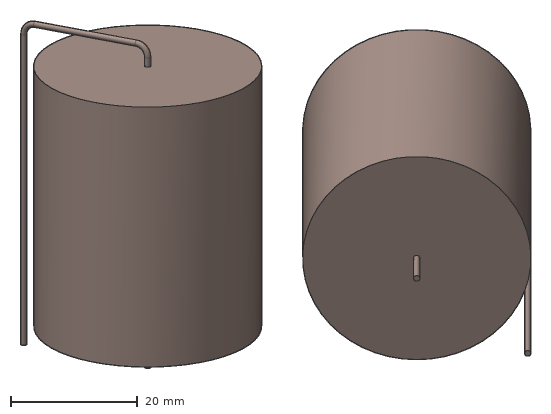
import cadquery as cq
import math

overall_height = 55.0
body_diameter = 36.0
body_height = 44.0
body_bottom = 7.0
wire_diameter = 1.0
lead_pitch = 22.0
bend_radius = 2.0

body_top = body_bottom + body_height
wire_radius = wire_diameter / 2
crossing_height = overall_height - wire_radius
bend_start_height = crossing_height - bend_radius
bend_offset = bend_radius * (1 - math.cos(math.radians(45)))


def make_body():
    """Solid cylindrical component body."""
    return cq.Workplane("XY").workplane(offset=body_bottom).circle(body_diameter / 2).extrude(body_height)


def make_bottom_lead():
    """Straight axial lead below the body."""
    return cq.Workplane("XY").circle(wire_radius).extrude(body_bottom)


def make_top_lead():
    """Lead that leaves the body top, crosses over its edge and returns down beside it."""
    path = (
        cq.Workplane("XZ")
        .moveTo(0, body_top)
        .lineTo(0, bend_start_height)
        .threePointArc((-bend_offset, crossing_height - bend_offset), (-bend_radius, crossing_height))
        .lineTo(bend_radius - lead_pitch, crossing_height)
        .threePointArc(
            (bend_offset - lead_pitch, crossing_height - bend_offset),
            (-lead_pitch, bend_start_height),
        )
        .lineTo(-lead_pitch, 0)
    )
    return cq.Workplane("XY").workplane(offset=body_top).circle(wire_radius).sweep(path)


body = make_body()
bottom_lead = make_bottom_lead()
top_lead = make_top_lead()

result = cq.Compound.makeCompound([body.val(), bottom_lead.val(), top_lead.val()])